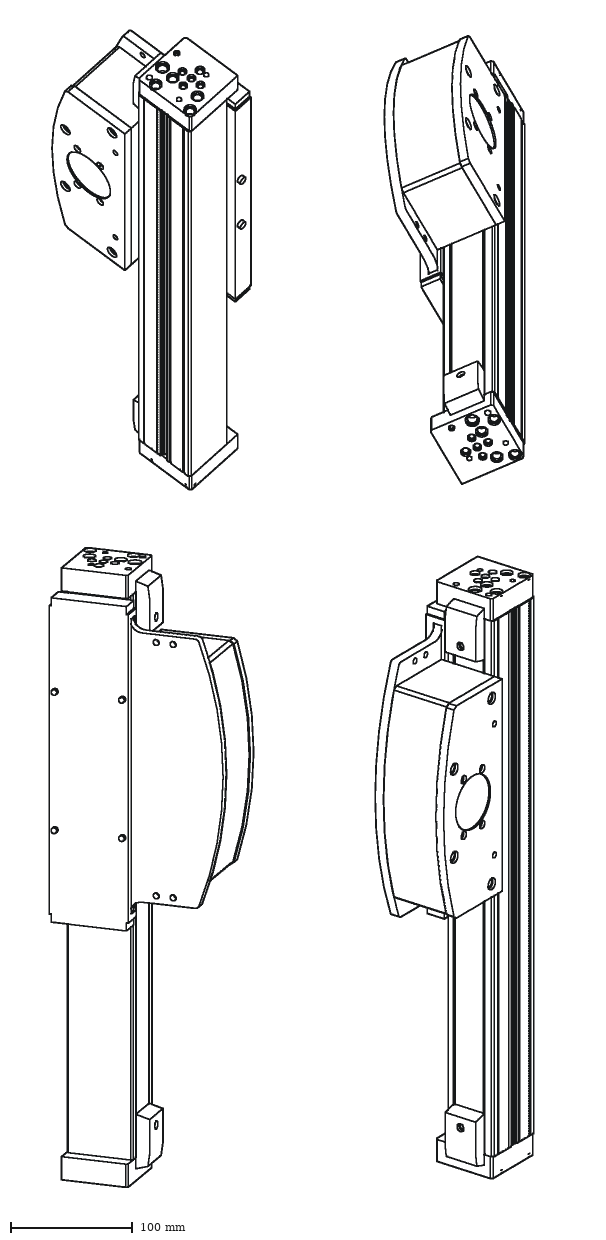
import cadquery as cq
import math


TOTAL_LENGTH = 530.0
MID_HEIGHT = TOTAL_LENGTH / 2
CAP_THICKNESS = 20.0
BEAM_LEFT = 84.5
BEAM_WIDTH = 58.5
BEAM_RIGHT = BEAM_LEFT + BEAM_WIDTH
BEAM_FRONT = 11.5
BEAM_BACK = 59.0
BEAM_LENGTH = TOTAL_LENGTH - 2 * CAP_THICKNESS
BEAM_CHAMFER = 1.5
CAP_FRONT = 12.5
CAP_BACK = 70.5
CAP_CHAMFER = 1.5
CAP_HOLE_DEPTH = 10.5
CAP_PLAIN_HOLES = [
    (90.0, 20.0, 4.95),
    (123.0, 53.5, 4.15),
    (123.0, 20.0, 4.15),
]
CAP_STEPPED_HOLES = [
    (90.0, 53.5, 4.95, 3.25),
    (116.0, 53.5, 8.0, 5.0),
    (106.0, 43.0, 7.0, 4.15),
    (116.0, 43.0, 7.0, 4.15),
    (126.0, 43.0, 7.0, 4.15),
    (116.0, 33.0, 7.0, 4.15),
    (91.0, 35.0, 11.0, 8.0),
    (104.5, 33.0, 10.0, 7.0),
    (132.0, 33.0, 10.0, 7.0),
    (98.5, 18.5, 10.0, 7.0),
    (137.0, 18.5, 10.0, 7.0),
]

GROOVE_DEPTH = 1.0
GROOVES = [(91.5, 0.5), (106.0, 0.5), (121.0, 1.5), (135.5, 1.5)]
SLOT_CENTRE = 113.5
SLOT_STEPS = [(7.5, 1.5), (5.5, 3.0), (2.5, 5.5)]

STRIP_CENTRE = 36.0
STRIP_WIDTH = 28.5
CHANNEL_WIDTH = 32.5
CHANNEL_DEPTH = 1.5

CLAMP_CENTRE = STRIP_CENTRE
CLAMP_WIDTH = 31.5
CLAMP_BASE_LOW = 472.0
CLAMP_BASE_HIGH = 519.5
CLAMP_LOW = 475.5
CLAMP_KINK = 505.0
CLAMP_HIGH = 516.0
CLAMP_LEFT = 72.0
CLAMP_TIP_LEFT = 73.5
CLAMP_HOLE_HEIGHT = 485.0
CLAMP_HEAD = 7.0
CLAMP_SHANK = 4.15

CARRIAGE_MID = 365.0
CARRIAGE_LEFT = 81.0
CARRIAGE_RIGHT = 150.5
CARRIAGE_BACK = 78.0
CARRIAGE_LENGTH = 267.0
CARRIAGE_END_LENGTH = 7.0
CARRIAGE_END_INSET = 1.5
PIN_DIAMETER = 4.95
PIN_HEIGHT = 3.0
PIN_PLACES = [86.0, 145.0]
PIN_RISE = 60.0
NIPPLE_DIAMETER = 7.0
NIPPLE_LENGTH = 3.0
NIPPLE_BACK = 64.5
NIPPLE_RISE = 32.0

MOTOR_HEIGHT = 194.0
MOTOR_RIGHT = CARRIAGE_LEFT
MOTOR_CHAMFER = 2.5
BOW_RADIUS = 318.0
HOUSING_INSET = 1.0
COVER_THICKNESS = 8.0
MOUNT_FRONT = 62.0
MOUNT_THICKNESS = CAP_BACK - MOUNT_FRONT
MOUNT_INSET = 0.5
MOUNT_HEIGHT = 233.0
MOUNT_FILLET = 3.5
FLARE_RADIUS = 11.0
MOUNT_TENON = 1.5
RECESS_DIAMETER = 48.0
RECESS_DEPTH = 1.5
RECESS_CENTRE = 41.0
COVER_SCREWS = [(67.0, 85.0), (15.0, 40.5)]
COVER_SCREW_HEAD = 10.0
COVER_SCREW_SHANK = 7.0
DOWEL_PLACE = (70.5, 60.0)
DOWEL_DIAMETER = 4.95
RECESS_SCREWS = [(28.0, 25.5), (53.5, 25.5)]
RECESS_SCREW_HEAD = 7.0
RECESS_SCREW_SHANK = 4.15
MOUNT_HOLE_PLACES = [44.5, 59.5]
MOUNT_HOLE_RISE = 109.5
MOUNT_HOLE_DIAMETER = 5.0

HEAD_DEPTH = 2.5


def box(x_range, y_range, z_range):
    """Block between the given limits."""
    sizes = [high - low for low, high in (x_range, y_range, z_range)]
    corner = (x_range[0], y_range[0], z_range[0])
    return cq.Workplane("XY").box(*sizes, centered=False).translate(corner)


def rod(start, direction, diameter, length):
    """Cylinder from a start point along a direction, used for pins and for cutting holes."""
    cylinder = cq.Solid.makeCylinder(diameter / 2, length, cq.Vector(*start), cq.Vector(*direction))
    return cq.Workplane(cylinder)


def flip(body):
    """Mirror a body from the upper to the lower end of the actuator."""
    return body.mirror("XY", (0, 0, MID_HEIGHT))


def counterbore(start, direction, head, shank, depth):
    """Cutter for a stepped hole."""
    return rod(start, direction, head, HEAD_DEPTH).union(rod(start, direction, shank, depth))


def side_bar(width):
    """Full-length bar just under the beam's -X face, for the cover strip and its channel."""
    return box(
        (BEAM_LEFT, BEAM_LEFT + CHANNEL_DEPTH),
        (STRIP_CENTRE - width / 2, STRIP_CENTRE + width / 2),
        (CAP_THICKNESS, TOTAL_LENGTH - CAP_THICKNESS),
    )


def front_groove(centre, width, depth):
    return box(
        (centre - width / 2, centre + width / 2),
        (BEAM_FRONT, BEAM_FRONT + depth),
        (CAP_THICKNESS, TOTAL_LENGTH - CAP_THICKNESS),
    )


def make_beam():
    beam = box(
        (BEAM_LEFT, BEAM_RIGHT),
        (BEAM_FRONT, BEAM_BACK),
        (CAP_THICKNESS, CAP_THICKNESS + BEAM_LENGTH),
    )
    beam = beam.edges("|Z").chamfer(BEAM_CHAMFER)
    beam = beam.cut(side_bar(CHANNEL_WIDTH))
    for place, width in GROOVES:
        beam = beam.cut(front_groove(place, width, GROOVE_DEPTH))
    for width, depth in SLOT_STEPS:
        beam = beam.cut(front_groove(SLOT_CENTRE, width, depth))
    return beam


def make_top_cap():
    cap = box(
        (BEAM_LEFT, BEAM_RIGHT),
        (CAP_FRONT, CAP_BACK),
        (TOTAL_LENGTH - CAP_THICKNESS, TOTAL_LENGTH),
    )
    cap = cap.edges("|Z").edges("<X or <Y").chamfer(CAP_CHAMFER)
    down = (0, 0, -1)
    for x, y, diameter in CAP_PLAIN_HOLES:
        cap = cap.cut(rod((x, y, TOTAL_LENGTH), down, diameter, CAP_HOLE_DEPTH))
    for x, y, head, shank in CAP_STEPPED_HOLES:
        cap = cap.cut(counterbore((x, y, TOTAL_LENGTH), down, head, shank, CAP_HOLE_DEPTH))
    return cap


def make_top_clamp():
    outline = [
        (BEAM_LEFT, CLAMP_BASE_LOW),
        (CLAMP_LEFT, CLAMP_LOW),
        (CLAMP_LEFT, CLAMP_KINK),
        (CLAMP_TIP_LEFT, CLAMP_HIGH),
        (BEAM_LEFT, CLAMP_BASE_HIGH),
    ]
    clamp = cq.Workplane("XZ").polyline(outline).close().extrude(CLAMP_WIDTH / 2, both=True)
    clamp = clamp.translate((0, CLAMP_CENTRE, 0))
    hole_start = (CLAMP_LEFT, CLAMP_CENTRE, CLAMP_HOLE_HEIGHT)
    thickness = BEAM_LEFT - CLAMP_LEFT
    return clamp.cut(counterbore(hole_start, (1, 0, 0), CLAMP_HEAD, CLAMP_SHANK, thickness))


def bow(height, inset):
    """X of the bowed -X side at a height above or below the carriage middle."""
    return inset + BOW_RADIUS - math.sqrt(BOW_RADIUS**2 - height**2)


def bowed_slab(inset, front, back):
    """Slab with a bowed -X side and chamfered corners, as tall as the motor box."""
    half = MOTOR_HEIGHT / 2
    left = bow(half, inset)
    slab = (
        cq.Workplane("XZ")
        .moveTo(MOTOR_RIGHT, -half)
        .lineTo(left, -half)
        .threePointArc((inset, 0), (left, half))
        .lineTo(MOTOR_RIGHT, half)
        .close()
        .extrude(front - back)
        .edges("|Y")
        .edges("<X")
        .chamfer(MOTOR_CHAMFER)
    )
    return slab.translate((0, front, CARRIAGE_MID))


def make_cover():
    cover = bowed_slab(0, 0, COVER_THICKNESS)
    inward = (0, 1, 0)
    cover = cover.cut(rod((RECESS_CENTRE, 0, CARRIAGE_MID), inward, RECESS_DIAMETER, RECESS_DEPTH))
    for side in (-1, 1):
        for x, rise in COVER_SCREWS:
            start = (x, 0, CARRIAGE_MID + side * rise)
            cutter = counterbore(start, inward, COVER_SCREW_HEAD, COVER_SCREW_SHANK, COVER_THICKNESS)
            cover = cover.cut(cutter)
        for x, rise in RECESS_SCREWS:
            start = (x, 0, CARRIAGE_MID + side * rise)
            cutter = counterbore(start, inward, RECESS_SCREW_HEAD, RECESS_SCREW_SHANK, COVER_THICKNESS)
            cover = cover.cut(cutter)
        x, rise = DOWEL_PLACE
        cover = cover.cut(rod((x, 0, CARRIAGE_MID + side * rise), inward, DOWEL_DIAMETER, COVER_THICKNESS))
    return cover


def make_mounting_plate():
    half = MOUNT_HEIGHT / 2
    left = bow(half, MOUNT_INSET)
    right = MOTOR_RIGHT + MOUNT_TENON
    flare_start = right - FLARE_RADIUS
    flare_height = half + FLARE_RADIUS
    diagonal = FLARE_RADIUS * math.sqrt(0.5)
    flare_x = flare_start + diagonal
    flare_z = flare_height - diagonal
    plate = (
        cq.Workplane("XZ")
        .moveTo(right, -flare_height)
        .threePointArc((flare_x, -flare_z), (flare_start, -half))
        .lineTo(left, -half)
        .threePointArc((MOUNT_INSET, 0), (left, half))
        .lineTo(flare_start, half)
        .threePointArc((flare_x, flare_z), (right, flare_height))
        .close()
        .extrude(-MOUNT_THICKNESS)
    )
    plate = plate.edges("|Y").edges("<X").fillet(MOUNT_FILLET)
    plate = plate.translate((0, MOUNT_FRONT, CARRIAGE_MID))
    for side in (-1, 1):
        for x in MOUNT_HOLE_PLACES:
            start = (x, MOUNT_FRONT, CARRIAGE_MID + side * MOUNT_HOLE_RISE)
            plate = plate.cut(rod(start, (0, 1, 0), MOUNT_HOLE_DIAMETER, MOUNT_THICKNESS))
    return plate


def make_carriage():
    half = CARRIAGE_LENGTH / 2
    end_half = half + CARRIAGE_END_LENGTH
    carriage = box(
        (CARRIAGE_LEFT, CARRIAGE_RIGHT),
        (BEAM_BACK, CARRIAGE_BACK),
        (CARRIAGE_MID - half, CARRIAGE_MID + half),
    )
    ends = box(
        (CARRIAGE_LEFT + CARRIAGE_END_INSET, CARRIAGE_RIGHT - CARRIAGE_END_INSET),
        (BEAM_BACK + CARRIAGE_END_INSET, CARRIAGE_BACK),
        (CARRIAGE_MID - end_half, CARRIAGE_MID + end_half),
    )
    carriage = carriage.union(ends)

    tenon_half = MOUNT_HEIGHT / 2 + FLARE_RADIUS
    carriage = carriage.cut(
        box(
            (CARRIAGE_LEFT, CARRIAGE_LEFT + MOUNT_TENON),
            (MOUNT_FRONT, MOUNT_FRONT + MOUNT_THICKNESS),
            (CARRIAGE_MID - tenon_half, CARRIAGE_MID + tenon_half),
        )
    )
    for side in (-1, 1):
        for x in PIN_PLACES:
            start = (x, CARRIAGE_BACK, CARRIAGE_MID + side * PIN_RISE)
            carriage = carriage.union(rod(start, (0, 1, 0), PIN_DIAMETER, PIN_HEIGHT))
        start = (CARRIAGE_RIGHT, NIPPLE_BACK, CARRIAGE_MID + side * NIPPLE_RISE)
        carriage = carriage.union(rod(start, (1, 0, 0), NIPPLE_DIAMETER, NIPPLE_LENGTH))
    return carriage


beam = make_beam()
strip = side_bar(STRIP_WIDTH)
top_cap = make_top_cap()
caps = [top_cap, flip(top_cap)]
top_clamp = make_top_clamp()
clamps = [top_clamp, flip(top_clamp)]
carriage = make_carriage()
mounting_plate = make_mounting_plate()
housing = bowed_slab(HOUSING_INSET, COVER_THICKNESS, MOUNT_FRONT)
cover = make_cover()

result = cq.Compound.makeCompound(
    [
        beam.val(),
        strip.val(),
        *[cap.val() for cap in caps],
        *[clamp.val() for clamp in clamps],
        carriage.val(),
        mounting_plate.val(),
        housing.val(),
        cover.val(),
    ]
)